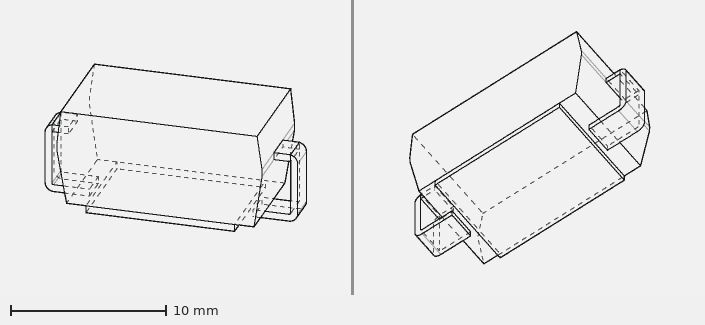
import cadquery as cq

LENGTH = 17.0
HEIGHT = 7.1

TOP_WIDTH = 7.6
BASE_WIDTH = 7.0
TOP_LENGTH = 13.21
BAND_LENGTH = 13.8
BASE_LENGTH = 12.61
BAND_BOTTOM = 4.25
BAND_TOP = 4.75

PLATE_LENGTH = 10.0
PLATE_THICKNESS = 0.5

TERMINAL_WIDTH = 2.0
LEAD_THICKNESS = 0.48
OUTER_RADIUS = 0.6
INNER_RADIUS = 0.1
FOOT_GAP = 0.51

HALF_LENGTH = LENGTH / 2
LEAD_INNER_X = HALF_LENGTH - LEAD_THICKNESS
FOOT_END_X = PLATE_LENGTH / 2 + FOOT_GAP


def extrude_across_width(outline, width):
    """Extrude an XZ outline by width, centred on Y = 0."""
    return outline.extrude(width / 2, both=True)


def box_between(x_min, x_max, width, z_min, z_max):
    """Make a box centred on Y = 0."""
    return (
        cq.Workplane("XY", origin=((x_min + x_max) / 2, 0, z_min))
        .rect(x_max - x_min, width)
        .extrude(z_max - z_min)
    )


def make_housing():
    end_profile = cq.Workplane("XZ").polyline([
        (-BASE_LENGTH / 2, PLATE_THICKNESS),
        (-BAND_LENGTH / 2, BAND_BOTTOM),
        (-BAND_LENGTH / 2, BAND_TOP),
        (-TOP_LENGTH / 2, HEIGHT),
        (TOP_LENGTH / 2, HEIGHT),
        (BAND_LENGTH / 2, BAND_TOP),
        (BAND_LENGTH / 2, BAND_BOTTOM),
        (BASE_LENGTH / 2, PLATE_THICKNESS),
    ]).close()
    side_profile = cq.Workplane("YZ").polyline([
        (-BASE_WIDTH / 2, PLATE_THICKNESS),
        (BASE_WIDTH / 2, PLATE_THICKNESS),
        (TOP_WIDTH / 2, HEIGHT),
        (-TOP_WIDTH / 2, HEIGHT),
    ]).close()
    long_body = extrude_across_width(end_profile, TOP_WIDTH)
    leaning_walls = side_profile.extrude(BAND_LENGTH / 2, both=True)
    return long_body.intersect(leaning_walls)


def make_plate():
    return box_between(-PLATE_LENGTH / 2, PLATE_LENGTH / 2, BASE_WIDTH, 0, PLATE_THICKNESS)


def make_stub():
    """Make the +X stub, from the housing band to the lead's inner face."""
    return box_between(BAND_LENGTH / 2, LEAD_INNER_X, TERMINAL_WIDTH, BAND_BOTTOM, BAND_TOP)


def make_lead():
    """Make the +X L-shaped lead, whose rounded top meets the end of the stub."""
    block = box_between(FOOT_END_X, HALF_LENGTH, TERMINAL_WIDTH, 0, BAND_TOP)
    rounded_block = block.edges("|Y and >X").fillet(OUTER_RADIUS)
    opening = box_between(
        FOOT_END_X, LEAD_INNER_X, TERMINAL_WIDTH, PLATE_THICKNESS, BAND_TOP + PLATE_THICKNESS
    ).edges("|Y and >X and <Z").fillet(INNER_RADIUS)
    return rounded_block.cut(opening)


housing = make_housing()
plate = make_plate()

stubs = []
leads = []
for turn in (0, 180):
    stubs.append(make_stub().rotate((0, 0, 0), (0, 0, 1), turn).val())
    leads.append(make_lead().rotate((0, 0, 0), (0, 0, 1), turn).val())

result = cq.Compound.makeCompound([housing.val(), plate.val(), *stubs, *leads])